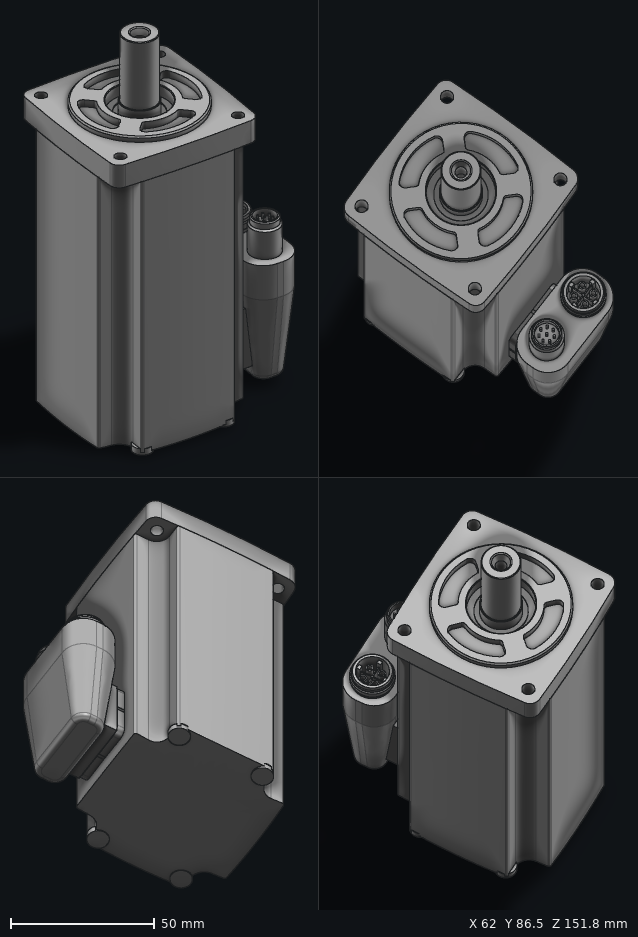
import cadquery as cq
import math


HOUSING_HALF_WIDTH = 31.0
FLANGE_STEP = 0.08
FLANGE_HALF_WIDTH = HOUSING_HALF_WIDTH - FLANGE_STEP
SIDE_BOW = 0.83
CORNER_RADIUS = 4.1
REAR_DOME_RADIUS = 288.4

FLANGE_BOTTOM = 112.8
FLANGE_TOP = 122.0
PILOT_TOP = 124.3
SHAFT_TOP = 151.8

NOTCH_OFFSET = 19.7
NOTCH_INNER_RADIUS = 5.3
NOTCH_EDGE_RADIUS = 0.9
BOLT_OFFSET = 24.7
BOLT_DIAMETER = 4.5

PAD_DIAMETER = 7.9
PAD_X = HOUSING_HALF_WIDTH - PAD_DIAMETER / 2
PAD_Y = 17.0
PAD_BOTTOM = 1.0
PAD_TOP = 3.6

PILOT_DIAMETER = 50.1
PILOT_CHAMFER = 0.6
POCKET_INNER_RADIUS = 15.0
POCKET_OUTER_RADIUS = 21.9
POCKET_DEPTH = 2.9
POCKET_OUTER_FILLET = 2.1
POCKET_INNER_FILLET = 1.2
RIB_WIDTH = 7.6
BORE_DIAMETER = 24.3
BORE_DEPTH = 4.7
BORE_CHAMFER = 0.3
SEAL_DIAMETER = 19.0
SEAL_DEPTH = 0.5

SHAFT_DIAMETER = 14.0
SHAFT_CHAMFER = 0.3
COLLAR_DIAMETER = 15.0
COLLAR_CHAMFER = 0.2
COUNTERSINK_DIAMETER = 7.7
COUNTERSINK_HALF_ANGLE = 60
CENTRE_CONE_DIAMETER = 6.7
CENTRE_CONE_HALF_ANGLE = 30
CENTRE_DRILL_DIAMETER = 4.1
CENTRE_DRILL_DEPTH = 12.1
DRILL_TIP_HALF_ANGLE = 59

SHELL_BACK = 55.5
SHELL_LENGTH = 40.8
SHELL_DEPTH = 20.2
SHELL_RADIUS = 8.8
CONNECTOR_Y = SHELL_BACK - SHELL_DEPTH / 2
SHELL_TOP = 52.8
TAPER_TOP = 38.9
TAPER_INSET = 4.1
FOOT_BOTTOM = 3.3
FOOT_FILLET = 2.5

NECK_WIDTH = 25.2
NECK_HEIGHT = 24.3
NECK_BOTTOM = 9.0
NECK_CENTRE_Z = NECK_BOTTOM + NECK_HEIGHT / 2
PLATE_MARGIN = 0.5
PLATE_RADIUS = 3
PLATE_BACK = 33.7
PLATE_GROOVE_WIDTH = 1.2
PLATE_GROOVE_DEPTH = 0.2

SOCKET_X = 10.6
POWER_DIAMETER = 14.7
POWER_RIM_DIAMETER = 14.0
POWER_CHAMFER_BOTTOM = 58.3
POWER_TOP = 59.2
COUPLING_DIAMETER = 16.0
COUPLING_BOTTOM = 54.2
COUPLING_TOP = 57.2
COUPLING_CHAMFER = 0.5
POWER_BORE_DIAMETER = 11.8
POWER_BORE_DEPTH = 9.1
SLEEVE_DIAMETER = 2.7
SLEEVE_HOLE_DIAMETER = 1.7
SLEEVE_OFFSET = 2.5
SLEEVE_TOP = 56.2
PARTITION_WIDTH = 0.5
PARTITION_TOP = 55.4
KEY_WIDTH = 1.7
KEY_LENGTH = 1.4
KEY_TOP = 57.7

SIGNAL_DIAMETER = 12.3
SIGNAL_TIP_DIAMETER = 10.8
SIGNAL_SHOULDER = 63.9
SIGNAL_TIP_BOTTOM = 64.5
SIGNAL_TOP = 67.2
SIGNAL_CHAMFER = 0.5
SIGNAL_BORE_DIAMETER = 8.8
SIGNAL_BORE_DEPTH = 3
SIGNAL_PIN_DIAMETER = 0.8
SIGNAL_PIN_CIRCLE = 5.5
SIGNAL_PIN_COUNT = 7
SIGNAL_PIN_START = 8
SIGNAL_PIN_HEIGHT = 2.3


def cylinder(diameter, bottom, top, x=0.0, y=0.0):
    return cq.Workplane("XY", origin=(x, y, bottom)).circle(diameter / 2).extrude(top - bottom)


def cone_height(radius_change, half_angle):
    return radius_change / math.tan(math.radians(half_angle))


def bowed_square(half_width, bottom, top):
    """Upright square block whose four sides bow outwards."""
    m = half_width
    c = half_width - SIDE_BOW
    return (
        cq.Workplane("XY", origin=(0, 0, bottom))
        .moveTo(c, c)
        .threePointArc((0, m), (-c, c))
        .threePointArc((-m, 0), (-c, -c))
        .threePointArc((0, -m), (c, -c))
        .threePointArc((m, 0), (c, c))
        .close()
        .extrude(top - bottom)
    )


def make_flange():
    flange = bowed_square(FLANGE_HALF_WIDTH, FLANGE_BOTTOM, FLANGE_TOP).edges("|Z").fillet(CORNER_RADIUS)
    pilot = cylinder(PILOT_DIAMETER, FLANGE_TOP, PILOT_TOP).faces(">Z").edges().chamfer(PILOT_CHAMFER)
    return flange.union(pilot)


def make_housing():
    housing = bowed_square(HOUSING_HALF_WIDTH, 0, FLANGE_BOTTOM)
    notch_size = HOUSING_HALF_WIDTH - NOTCH_OFFSET
    notch_centre = NOTCH_OFFSET + notch_size / 2
    notches = (
        cq.Workplane("XY")
        .rect(2 * notch_centre, 2 * notch_centre, forConstruction=True)
        .vertices()
        .rect(notch_size, notch_size)
        .extrude(FLANGE_BOTTOM)
    )
    housing = housing.cut(notches)

    def is_inner(edge):
        centre = edge.Center()
        return max(abs(centre.x), abs(centre.y)) < NOTCH_OFFSET + NOTCH_EDGE_RADIUS

    housing = housing.edges("|Z").filter(lambda edge: not is_inner(edge)).fillet(NOTCH_EDGE_RADIUS)
    housing = housing.edges("|Z").filter(is_inner).fillet(NOTCH_INNER_RADIUS)
    dome = cq.Workplane("XY", origin=(0, 0, REAR_DOME_RADIUS)).sphere(REAR_DOME_RADIUS)
    housing = housing.intersect(dome)
    for x in (-PAD_X, PAD_X):
        for y in (-PAD_Y, PAD_Y):
            housing = housing.union(cylinder(PAD_DIAMETER, PAD_BOTTOM, PAD_TOP, x, y))
    return housing


def make_pocket():
    """Curved pocket on the +Y side of the pilot, ending at two diagonal ribs."""
    floor = PILOT_TOP - POCKET_DEPTH
    apex = RIB_WIDTH / math.sqrt(2)
    reach = PILOT_DIAMETER
    wedge = (
        cq.Workplane("XY", origin=(0, 0, floor))
        .polyline([(0, apex), (reach, apex + reach), (-reach, apex + reach)])
        .close()
        .extrude(POCKET_DEPTH)
    )
    ring = cylinder(2 * POCKET_OUTER_RADIUS, floor, PILOT_TOP)
    ring = ring.cut(cylinder(2 * POCKET_INNER_RADIUS, floor, PILOT_TOP))
    pocket = ring.intersect(wedge)

    def is_outer(edge):
        centre = edge.Center()
        return math.hypot(centre.x, centre.y) > (POCKET_INNER_RADIUS + POCKET_OUTER_RADIUS) / 2

    def is_inner(edge):
        return not is_outer(edge)

    pocket = pocket.edges("|Z").filter(is_outer).fillet(POCKET_OUTER_FILLET)
    return pocket.edges("|Z").filter(is_inner).fillet(POCKET_INNER_FILLET)


def cut_flange_details(motor):
    pocket = make_pocket()
    for quarter in range(4):
        motor = motor.cut(pocket.rotate((0, 0, 0), (0, 0, 1), 90 * quarter))
    for x in (-BOLT_OFFSET, BOLT_OFFSET):
        for y in (-BOLT_OFFSET, BOLT_OFFSET):
            motor = motor.cut(cylinder(BOLT_DIAMETER, FLANGE_BOTTOM, FLANGE_TOP, x, y))
    bore_floor = PILOT_TOP - BORE_DEPTH
    bore_radius = BORE_DIAMETER / 2
    bore = (
        cq.Workplane("XZ")
        .polyline([
            (0, bore_floor),
            (bore_radius, bore_floor),
            (bore_radius, PILOT_TOP - BORE_CHAMFER),
            (bore_radius + BORE_CHAMFER, PILOT_TOP),
            (0, PILOT_TOP),
        ])
        .close()
        .revolve(360, (0, 0), (0, 1))
    )
    return motor.cut(bore).cut(cylinder(SEAL_DIAMETER, bore_floor - SEAL_DEPTH, bore_floor))


def make_shaft():
    shaft = cylinder(SHAFT_DIAMETER, FLANGE_BOTTOM, SHAFT_TOP).faces(">Z").edges().chamfer(SHAFT_CHAMFER)
    collar = cylinder(COLLAR_DIAMETER, FLANGE_BOTTOM, PILOT_TOP).faces(">Z").edges().chamfer(COLLAR_CHAMFER)
    shaft = shaft.union(collar)
    drill = CENTRE_DRILL_DIAMETER / 2
    cone = CENTRE_CONE_DIAMETER / 2
    countersink = COUNTERSINK_DIAMETER / 2
    cone_top = cone_height(countersink - cone, COUNTERSINK_HALF_ANGLE)
    cone_bottom = cone_top + cone_height(cone - drill, CENTRE_CONE_HALF_ANGLE)
    tip = CENTRE_DRILL_DEPTH + cone_height(drill, DRILL_TIP_HALF_ANGLE)
    centre_hole = (
        cq.Workplane("XZ", origin=(0, 0, SHAFT_TOP))
        .polyline([
            (0, 0),
            (countersink, 0),
            (cone, -cone_top),
            (drill, -cone_bottom),
            (drill, -CENTRE_DRILL_DEPTH),
            (0, -tip),
        ])
        .close()
        .revolve(360, (0, 0), (0, 1))
    )
    return shaft.cut(centre_hole)


def rounded_rectangle(length, depth, radius):
    return cq.Sketch().rect(length, depth).vertices().fillet(radius)


def make_connector_shell():
    outline = rounded_rectangle(SHELL_LENGTH, SHELL_DEPTH, SHELL_RADIUS)
    plane = cq.Workplane("XY", origin=(0, CONNECTOR_Y, TAPER_TOP))
    upper = plane.placeSketch(outline).extrude(SHELL_TOP - TAPER_TOP)
    taper_height = TAPER_TOP - FOOT_BOTTOM
    draft = math.degrees(math.atan(TAPER_INSET / taper_height))
    lower = plane.placeSketch(outline).extrude(-taper_height, taper=draft)
    lower = lower.faces("<Z").edges().fillet(FOOT_FILLET)
    return upper.union(lower)


def make_neck():
    neck = cq.Workplane("XY").box(NECK_WIDTH, CONNECTOR_Y - PLATE_BACK, NECK_HEIGHT)
    neck = neck.translate((0, (CONNECTOR_Y + PLATE_BACK) / 2, NECK_CENTRE_Z))
    plate_front = HOUSING_HALF_WIDTH - SIDE_BOW
    width = NECK_WIDTH + 2 * PLATE_MARGIN
    height = NECK_HEIGHT + 2 * PLATE_MARGIN
    plane = cq.Workplane("XZ", origin=(0, PLATE_BACK, NECK_CENTRE_Z))
    outline = rounded_rectangle(width, height, PLATE_RADIUS)
    plate = plane.placeSketch(outline).extrude(PLATE_BACK - plate_front)
    grooves = (
        plane.pushPoints([(0, -height / 2), (0, height / 2)])
        .rect(PLATE_GROOVE_WIDTH, 2 * PLATE_GROOVE_DEPTH)
        .pushPoints([(-width / 2, 0), (width / 2, 0)])
        .rect(2 * PLATE_GROOVE_DEPTH, PLATE_GROOVE_WIDTH)
        .extrude(PLATE_BACK - plate_front)
    )
    return neck.union(plate.cut(grooves))


def add_power_socket(part):
    x = -SOCKET_X
    rim_chamfer = POWER_TOP - POWER_CHAMFER_BOTTOM
    barrel = cylinder(POWER_DIAMETER, SHELL_TOP, POWER_TOP, x, CONNECTOR_Y)
    barrel = barrel.faces(">Z").edges().chamfer(rim_chamfer, (POWER_DIAMETER - POWER_RIM_DIAMETER) / 2)
    coupling = cylinder(COUPLING_DIAMETER, COUPLING_BOTTOM, COUPLING_TOP, x, CONNECTOR_Y)
    barrel = barrel.union(coupling.edges().chamfer(COUPLING_CHAMFER))
    floor = POWER_TOP - POWER_BORE_DEPTH
    bore = cylinder(POWER_BORE_DIAMETER, floor, POWER_TOP, x, CONNECTOR_Y)
    return part.union(barrel).cut(bore.cut(make_power_insert(floor)))


def make_power_insert(floor):
    """Crossed partitions with keys at their ends and a contact sleeve in each quarter."""
    centre = cq.Workplane("XY", origin=(-SOCKET_X, CONNECTOR_Y, floor))
    bore_radius = POWER_BORE_DIAMETER / 2
    insert = (
        centre.rect(POWER_BORE_DIAMETER, PARTITION_WIDTH)
        .rect(PARTITION_WIDTH, POWER_BORE_DIAMETER)
        .extrude(PARTITION_TOP - floor)
    )
    keys = (
        centre.polarArray(bore_radius - KEY_LENGTH / 2, 0, 360, 4)
        .rect(KEY_LENGTH, KEY_WIDTH)
        .extrude(KEY_TOP - floor)
    )
    sleeves = (
        centre.rect(2 * SLEEVE_OFFSET, 2 * SLEEVE_OFFSET, forConstruction=True)
        .vertices()
        .circle(SLEEVE_DIAMETER / 2)
        .circle(SLEEVE_HOLE_DIAMETER / 2)
        .extrude(SLEEVE_TOP - floor)
    )
    return insert.union(keys).union(sleeves)


def add_signal_socket(part):
    x = SOCKET_X
    body = SIGNAL_DIAMETER / 2
    tip = SIGNAL_TIP_DIAMETER / 2
    barrel = (
        cq.Workplane("XZ", origin=(x, CONNECTOR_Y, 0))
        .polyline([
            (0, SHELL_TOP),
            (body, SHELL_TOP),
            (body, SIGNAL_SHOULDER),
            (tip, SIGNAL_TIP_BOTTOM),
            (tip, SIGNAL_TOP - SIGNAL_CHAMFER),
            (tip - SIGNAL_CHAMFER, SIGNAL_TOP),
            (0, SIGNAL_TOP),
        ])
        .close()
        .revolve(360, (0, 0), (0, 1))
    )
    floor = SIGNAL_TOP - SIGNAL_BORE_DEPTH
    bore = cylinder(SIGNAL_BORE_DIAMETER, floor, SIGNAL_TOP, x, CONNECTOR_Y)
    part = part.union(barrel).cut(bore)
    pin = cylinder(SIGNAL_PIN_DIAMETER, floor, floor + SIGNAL_PIN_HEIGHT, x, CONNECTOR_Y)
    part = part.union(pin)
    for index in range(SIGNAL_PIN_COUNT):
        angle = math.radians(SIGNAL_PIN_START + 360 / SIGNAL_PIN_COUNT * index)
        offset = (SIGNAL_PIN_CIRCLE / 2 * math.cos(angle), SIGNAL_PIN_CIRCLE / 2 * math.sin(angle), 0)
        part = part.union(pin.translate(offset))
    return part


motor = make_housing().union(make_flange())
motor = cut_flange_details(motor)
motor = motor.union(make_shaft())
connector = make_connector_shell().union(make_neck())
connector = add_power_socket(connector)
connector = add_signal_socket(connector)
result = motor.union(connector)